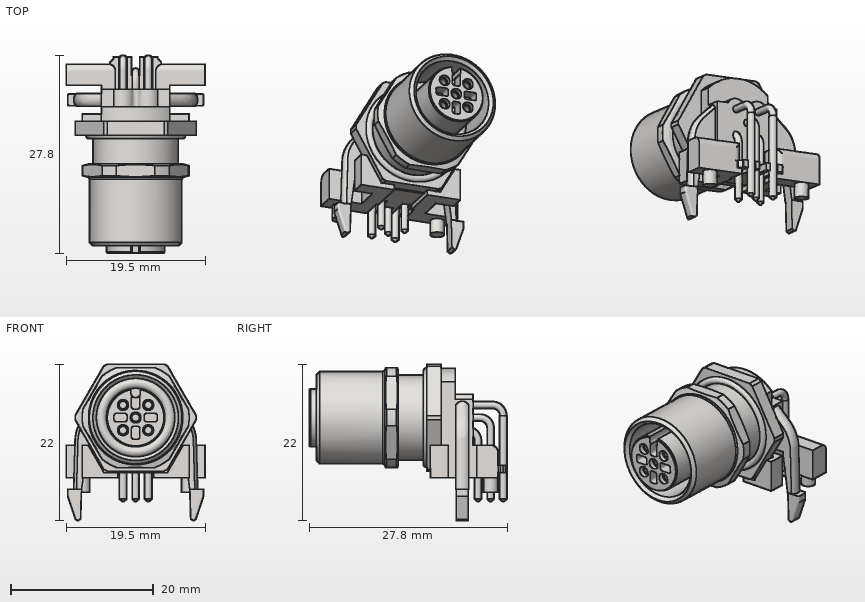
import cadquery as cq
import math


SHELL_FRONT = 1.0
NUT_FRONT = 10.6
BODY_FRONT = 12.5
FLANGE_FRONT = 16.5
FLANGE_BACK = 18.5
PLATE_BACK = 20.5
BLOCK_BACK = 23.0
BAR_FRONT = 23.5
BAR_BACK = 26.5
COMB_BACK = 27.5

SHELL_RADIUS = 6.5
SHELL_CHAMFER = 0.5
BODY_RADIUS = 6.0
CAVITY_RADIUS = 5.5
CAVITY_FLOOR = 10.0
NUT_FLATS = 14.0
NUT_RADIUS = 7.5
NUT_CHAMFER_RADIUS = 6.62
NUT_CHAMFER_DEPTH = 0.25
COLLAR_LENGTH = 0.28
FLANGE_FLATS = 15.0
FLANGE_RADIUS = 8.5
O_RING_SECTION_RADIUS = 0.5
O_RING_RADIUS = BODY_RADIUS + O_RING_SECTION_RADIUS

INSERT_RADIUS = 4.1
INSERT_CHAMFER_RADIAL = 0.13
INSERT_CHAMFER_AXIAL = 0.2
SEAL_SECTION_RADIUS = (CAVITY_RADIUS - INSERT_RADIUS) / 2
SEAL_RADIUS = (CAVITY_RADIUS + INSERT_RADIUS) / 2
CONTACT_CIRCLE_RADIUS = 2.5
CONTACT_OFFSET = CONTACT_CIRCLE_RADIUS / math.sqrt(2)
CONTACT_HOLE_DIAMETER = 1.5
CONTACT_BORE_DIAMETER = 1.1
CONTACT_HOLE_DEPTH = 0.8
CONTACT_BORE_DEPTH = 4.0
SLOT_LENGTH = 1.85
SLOT_WIDTH = 1.2
SLOT_CENTER = 2.12
SLOT_DEPTH = 2.0
SLOT_CORNER_RADIUS = 0.38
KEY_WIDTH = 1.35
KEY_BOTTOM = 2.8

PLATE_RADIUS = 6.95
HOUSING_HALF_WIDTH = 4.8
HOUSING_TOP = 2.55
HOUSING_BOTTOM = -8.44
BAR_TOP = -3.87
BAR_HALF_LENGTH = 9.75
BAR_INNER_X = 2.83
BAR_FILLET = 1.0
GAP_HALF_WIDTH = 2.5
GAP_TOP = -7.7
FOOT_FRONT = 17.0
FOOT_BACK = 19.5
FOOT_OUTER_X = 7.5
FOOT_POCKET_FLATS = 15.4
BOSS_RADIUS = 1.54
COMB_TOP = -6.67
COMB_HALF_WIDTH = 3.12
COMB_ROOT_HALF_WIDTH = 3.6
COMB_STRAIGHT = 0.25
COMB_SLOT_WIDTH = 1.18
COMB_CENTER_SLOT_WIDTH = 1.1
PEG_DIAMETER = 2.0
PEG_LENGTH = 2.05
PEG_X = 7.4

PIN_DIAMETER = 1.0
LONG_PIN_DIAMETER = 1.1
PIN_BEND_RADIUS = 1.5
PIN_BOTTOM = -11.8
PIN_TIP_LENGTH = 0.4
PIN_TIP_RADIUS = 0.1
PIN_Y_MIDDLE = 25.45

ARM_FRONT = 20.55
ARM_WIDTH = 1.85
ARM_DOME_HEIGHT = 0.42
ARM_WEB_BOTTOM_X = 6.75
HOOK_WIDTH = 1.7
HOOK_FILLET = 0.3
HOOK_TOP = -10.04
ARM_INNER_BOTTOM = (7.58, HOOK_TOP)

SPINE_START = (4.52, 1.99)
SPINE_BEND = (6.4, 0.29)
SPINE_BEND_MIDDLE = (7.62, -1.28)
SPINE_DROP = (8.08, -2.85)
SPINE_END = (8.29, HOOK_TOP)

HOOK_OUTER_X = 9.55
HOOK_LIP_BOTTOM = -11.0
HOOK_TIP = (8.1, -14.49)
HOOK_TIP_OUTER = (8.45, -14.25)
HOOK_TIP_INNER = (7.7, -14.2)


def box(x_range, y_range, z_range):
    """Block between the given limits."""
    size = [b - a for a, b in (x_range, y_range, z_range)]
    corner = (x_range[0], y_range[0], z_range[0])
    return cq.Workplane("XY").box(*size, centered=False).translate(corner)


def cross_plane(y):
    """Sketch plane across the plug axis: local x is X, local y is Z, negative extrusion runs to +Y."""
    return cq.Workplane(cq.Plane((0, y, 0), xDir=(1, 0, 0), normal=(0, -1, 0)))


def cylinder(radius, y_start, y_end, x=0, z=0):
    """Cylinder parallel to the plug axis."""
    return cross_plane(y_start).center(x, z).circle(radius).extrude(y_start - y_end)


def hexagon(flats, y_start, y_end):
    """Hexagonal prism about the plug axis with flats at top and bottom."""
    corner_diameter = flats / math.cos(math.pi / 6)
    return cross_plane(y_start).polygon(6, corner_diameter).extrude(y_start - y_end)


def revolved(profile):
    """Solid of revolution about the plug axis from (radius, y) points."""
    return cq.Workplane("XY").polyline(profile).close().revolve(360, (0, 0, 0), (0, 1, 0))


def torus(ring_radius, section_radius, y):
    """Ring about the plug axis."""
    return (
        cq.Workplane("XY").center(ring_radius, y).circle(section_radius)
        .revolve(360, (-ring_radius, 0, 0), (-ring_radius, 1, 0))
    )


def both_sides(solid):
    """Solid together with its mirror image across the X = 0 plane."""
    return solid.union(solid.mirror("YZ"))


def make_shell():
    """Front shell, threaded body and cavity with a knife-edged mouth."""
    mouth_radius = SHELL_RADIUS - SHELL_CHAMFER
    shell = revolved([
        (0, SHELL_FRONT),
        (mouth_radius, SHELL_FRONT),
        (SHELL_RADIUS, SHELL_FRONT + SHELL_CHAMFER),
        (SHELL_RADIUS, NUT_FRONT - COLLAR_LENGTH),
        (NUT_CHAMFER_RADIUS, NUT_FRONT),
        (NUT_CHAMFER_RADIUS, BODY_FRONT),
        (BODY_RADIUS, BODY_FRONT),
        (BODY_RADIUS, FLANGE_BACK),
        (0, FLANGE_BACK),
    ])
    cavity = revolved([
        (0, SHELL_FRONT),
        (mouth_radius, SHELL_FRONT),
        (CAVITY_RADIUS, SHELL_FRONT + SHELL_CHAMFER),
        (CAVITY_RADIUS, CAVITY_FLOOR),
        (0, CAVITY_FLOOR),
    ])
    return shell.cut(cavity).union(torus(SEAL_RADIUS, SEAL_SECTION_RADIUS, CAVITY_FLOOR))


def make_nut():
    """Hexagon nut with rounded corners and chamfered ends."""
    rounding = revolved([
        (0, NUT_FRONT),
        (NUT_CHAMFER_RADIUS, NUT_FRONT),
        (NUT_RADIUS, NUT_FRONT + NUT_CHAMFER_DEPTH),
        (NUT_RADIUS, BODY_FRONT - NUT_CHAMFER_DEPTH),
        (NUT_CHAMFER_RADIUS, BODY_FRONT),
        (0, BODY_FRONT),
    ])
    nut = hexagon(NUT_FLATS, NUT_FRONT, BODY_FRONT).intersect(rounding)
    return nut.cut(cylinder(BODY_RADIUS, NUT_FRONT, BODY_FRONT))


def make_flange():
    """Hexagon flange with rounded corners and the O-ring on its front face."""
    rounding = cylinder(FLANGE_RADIUS, FLANGE_FRONT, FLANGE_BACK)
    flange = hexagon(FLANGE_FLATS, FLANGE_FRONT, FLANGE_BACK).intersect(rounding)
    return flange.union(torus(O_RING_RADIUS, O_RING_SECTION_RADIUS, FLANGE_FRONT))


def make_insert():
    """Contact insert with five contact holes, four pockets and the coding groove on top."""
    insert = revolved([
        (0, 0),
        (INSERT_RADIUS - INSERT_CHAMFER_RADIAL, 0),
        (INSERT_RADIUS, INSERT_CHAMFER_AXIAL),
        (INSERT_RADIUS, CAVITY_FLOOR),
        (0, CAVITY_FLOOR),
    ])
    for quarter in range(4):
        pocket = (
            cross_plane(0).center(SLOT_CENTER, 0).rect(SLOT_LENGTH, SLOT_WIDTH)
            .extrude(-SLOT_DEPTH).edges("|Y").fillet(SLOT_CORNER_RADIUS)
        )
        insert = insert.cut(pocket.rotate((0, 0, 0), (0, 1, 0), 90 * quarter))

    half_key = KEY_WIDTH / 2
    groove_center = KEY_BOTTOM + half_key
    groove = (
        cross_plane(0).moveTo(-half_key, INSERT_RADIUS)
        .lineTo(-half_key, groove_center)
        .threePointArc((0, KEY_BOTTOM), (half_key, groove_center))
        .lineTo(half_key, INSERT_RADIUS).close().extrude(-CAVITY_FLOOR)
    )
    insert = insert.cut(groove)

    corners = [(sx * CONTACT_OFFSET, sz * CONTACT_OFFSET) for sx in (-1, 1) for sz in (-1, 1)]
    for x, z in corners + [(0, 0)]:
        insert = insert.cut(cylinder(CONTACT_HOLE_DIAMETER / 2, 0, CONTACT_HOLE_DEPTH, x, z))
        insert = insert.cut(cylinder(CONTACT_BORE_DIAMETER / 2, 0, CONTACT_BORE_DEPTH, x, z))
    return insert


def make_rear_block():
    """Plate behind the flange and pin block with two rounded bosses on its top."""
    width_range = (-HOUSING_HALF_WIDTH, HOUSING_HALF_WIDTH)
    plate = cylinder(PLATE_RADIUS, FLANGE_BACK, PLATE_BACK).intersect(
        box(width_range, (FLANGE_BACK, PLATE_BACK), (0, PLATE_RADIUS))
    )
    plate = plate.union(box(width_range, (FLANGE_BACK, PLATE_BACK), (HOUSING_BOTTOM, 0)))

    half_chord = math.sqrt(BOSS_RADIUS**2 - (HOUSING_TOP - CONTACT_OFFSET) ** 2)
    boss_top = CONTACT_OFFSET + BOSS_RADIUS
    valley_radius = BOSS_RADIUS * (CONTACT_OFFSET / half_chord - 1)
    valley_center = CONTACT_OFFSET + (HOUSING_TOP - CONTACT_OFFSET) * CONTACT_OFFSET / half_chord
    outer_x = CONTACT_OFFSET + half_chord
    inner_x = CONTACT_OFFSET - half_chord
    block = (
        cross_plane(PLATE_BACK)
        .moveTo(-HOUSING_HALF_WIDTH, HOUSING_BOTTOM)
        .lineTo(-HOUSING_HALF_WIDTH, HOUSING_TOP)
        .lineTo(-outer_x, HOUSING_TOP)
        .threePointArc((-CONTACT_OFFSET, boss_top), (-inner_x, HOUSING_TOP))
        .threePointArc((0, valley_center - valley_radius), (inner_x, HOUSING_TOP))
        .threePointArc((CONTACT_OFFSET, boss_top), (outer_x, HOUSING_TOP))
        .lineTo(HOUSING_HALF_WIDTH, HOUSING_TOP)
        .lineTo(HOUSING_HALF_WIDTH, HOUSING_BOTTOM)
        .close().extrude(PLATE_BACK - BLOCK_BACK)
    )
    gap = box((-GAP_HALF_WIDTH, GAP_HALF_WIDTH), (FLANGE_BACK, BLOCK_BACK), (HOUSING_BOTTOM, GAP_TOP))
    return plate.union(block).cut(gap)


def make_feet():
    """Two board feet recessed around the lower half of the flange."""
    foot = box((GAP_HALF_WIDTH, FOOT_OUTER_X), (FOOT_FRONT, FOOT_BACK), (HOUSING_BOTTOM, BAR_TOP))
    return both_sides(foot.cut(hexagon(FOOT_POCKET_FLATS, FOOT_FRONT, FLANGE_BACK)))


def make_bars():
    """Rear board bars with rounded top back edges, rounded inner ends and locating pegs."""
    flare_y = BAR_BACK - BAR_FILLET
    flare_x = BAR_INNER_X + BAR_FILLET
    flare_inset = BAR_FILLET * (1 - math.sqrt(0.5))
    flare_middle = (BAR_INNER_X + flare_inset, BAR_BACK - flare_inset)
    bar = box((BAR_INNER_X, BAR_HALF_LENGTH), (BAR_FRONT, BAR_BACK), (HOUSING_BOTTOM, BAR_TOP))
    bar = bar.edges(">Z and >Y").fillet(BAR_FILLET)
    bar = bar.union(
        box((BAR_INNER_X, HOUSING_HALF_WIDTH), (BLOCK_BACK, BAR_FRONT), (HOUSING_BOTTOM, BAR_TOP))
    )
    pin_space = (
        cq.Workplane("XY").workplane(offset=COMB_TOP)
        .moveTo(0, BLOCK_BACK)
        .lineTo(BAR_INNER_X, BLOCK_BACK)
        .lineTo(BAR_INNER_X, flare_y)
        .threePointArc(flare_middle, (flare_x, BAR_BACK))
        .lineTo(flare_x, COMB_BACK)
        .lineTo(0, COMB_BACK)
        .close().extrude(BAR_TOP - COMB_TOP)
    )
    bar = bar.cut(pin_space)
    peg = (
        cq.Workplane("XY").workplane(offset=HOUSING_BOTTOM)
        .center(PEG_X, PIN_Y_MIDDLE).circle(PEG_DIAMETER / 2).extrude(-PEG_LENGTH)
    )
    return both_sides(bar.union(peg))


def make_comb():
    """Thin comb plate between the bars that guides the solder pins."""
    flare = COMB_ROOT_HALF_WIDTH - COMB_HALF_WIDTH
    flare_y = COMB_BACK - COMB_STRAIGHT
    half = (
        cq.Workplane("XY").workplane(offset=GAP_TOP)
        .moveTo(0, BLOCK_BACK)
        .lineTo(COMB_ROOT_HALF_WIDTH, BLOCK_BACK)
        .lineTo(COMB_ROOT_HALF_WIDTH, flare_y - flare)
        .lineTo(COMB_HALF_WIDTH, flare_y)
        .lineTo(COMB_HALF_WIDTH, COMB_BACK)
        .lineTo(0, COMB_BACK)
        .close().extrude(COMB_TOP - GAP_TOP)
    )
    comb = both_sides(half)
    slots = [
        (-CONTACT_OFFSET, COMB_SLOT_WIDTH, BLOCK_BACK),
        (CONTACT_OFFSET, COMB_SLOT_WIDTH, BLOCK_BACK),
        (0, COMB_CENTER_SLOT_WIDTH, PIN_Y_MIDDLE - PIN_DIAMETER / 2),
    ]
    for x, width, y_start in slots:
        comb = comb.cut(box((x - width / 2, x + width / 2), (y_start, COMB_BACK), (GAP_TOP, COMB_TOP)))
    return comb


def make_pin(x, z, leg_diameter):
    """Pin that leaves the block at (x, z), bends down and ends in a conical tip."""
    leg_y = PIN_Y_MIDDLE + z
    bend_y = leg_y - PIN_BEND_RADIUS
    leg_top = z - PIN_BEND_RADIUS
    radius = PIN_DIAMETER / 2
    straight = cylinder(radius, PLATE_BACK, bend_y, x, z)
    bend = cross_plane(bend_y).center(x, z).circle(radius).revolve(
        90, (0, -PIN_BEND_RADIUS, 0), (-1, -PIN_BEND_RADIUS, 0)
    )
    leg_radius = leg_diameter / 2
    leg = (
        cq.Workplane("XZ", origin=(x, leg_y, 0))
        .moveTo(0, leg_top)
        .lineTo(leg_radius, leg_top)
        .lineTo(leg_radius, PIN_BOTTOM + PIN_TIP_LENGTH)
        .lineTo(PIN_TIP_RADIUS, PIN_BOTTOM)
        .lineTo(0, PIN_BOTTOM)
        .close().revolve(360, (0, 0, 0), (0, 1, 0))
    )
    return straight.union(bend).union(leg)


def make_pins():
    """Five solder pins in three rows."""
    pins = make_pin(0, 0, PIN_DIAMETER)
    for x in (-CONTACT_OFFSET, CONTACT_OFFSET):
        pins = pins.union(make_pin(x, CONTACT_OFFSET, LONG_PIN_DIAMETER))
        pins = pins.union(make_pin(x, -CONTACT_OFFSET, PIN_DIAMETER))
    return pins


def make_arm():
    """Right-hand snap arm with a domed outer side that curves out of the block and then drops."""
    core = (
        cross_plane(ARM_FRONT)
        .moveTo(*SPINE_START)
        .lineTo(*SPINE_BEND)
        .threePointArc(SPINE_BEND_MIDDLE, SPINE_DROP)
        .lineTo(*SPINE_END)
        .lineTo(*ARM_INNER_BOTTOM)
        .lineTo(ARM_WEB_BOTTOM_X, BAR_TOP)
        .lineTo(SPINE_START[0], BAR_TOP)
        .close().extrude(-ARM_WIDTH)
    )
    arm_middle = ARM_FRONT + ARM_WIDTH / 2
    spine = (
        cross_plane(arm_middle)
        .moveTo(*SPINE_START)
        .lineTo(*SPINE_BEND)
        .threePointArc(SPINE_BEND_MIDDLE, SPINE_DROP)
        .lineTo(*SPINE_END)
    )
    direction = (SPINE_BEND[0] - SPINE_START[0], 0, SPINE_BEND[1] - SPINE_START[1])
    section_plane = cq.Plane((SPINE_START[0], arm_middle, SPINE_START[1]), (0, 1, 0), direction)
    dome = (
        cq.Workplane(section_plane)
        .moveTo(-ARM_WIDTH / 2, 0)
        .threePointArc((0, ARM_DOME_HEIGHT), (ARM_WIDTH / 2, 0))
        .close().sweep(spine, transition="right")
    )
    return core.union(dome)


def make_hook():
    """Right-hand hook at the lower end of a snap arm."""
    hook = (
        cross_plane(ARM_FRONT + (ARM_WIDTH - HOOK_WIDTH) / 2)
        .moveTo(*ARM_INNER_BOTTOM)
        .lineTo(HOOK_OUTER_X, HOOK_TOP)
        .lineTo(HOOK_OUTER_X, HOOK_LIP_BOTTOM)
        .lineTo(*HOOK_TIP_OUTER)
        .lineTo(*HOOK_TIP)
        .lineTo(*HOOK_TIP_INNER)
        .close().extrude(-HOOK_WIDTH)
    )
    outer_edges = cq.selectors.BoxSelector(
        (HOOK_TIP_OUTER[0], ARM_FRONT, HOOK_TIP_OUTER[1] + HOOK_FILLET),
        (BAR_HALF_LENGTH, BAR_BACK, HOOK_TOP),
    )
    return hook.faces("<Y or >Y").edges(outer_edges).fillet(HOOK_FILLET)


def make_snap_arms():
    """Both snap arms with their hooks."""
    return both_sides(make_arm().union(make_hook()))


result = make_shell()
for part in (
    make_nut(), make_flange(), make_insert(), make_rear_block(), make_feet(),
    make_bars(), make_comb(), make_pins(), make_snap_arms(),
):
    result = result.union(part)